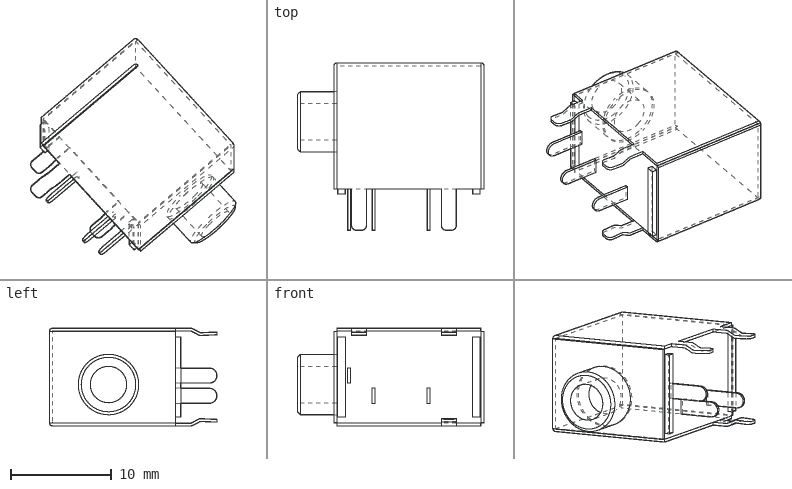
import cadquery as cq
import math


shell_length = 14.9
shell_depth = 12.5
shell_height = 9.7
sheet = 0.3
corner_gap = 0.02

barrel_projection = 3.6
barrel_diameter = 6.0
bore_diameter = 3.6
barrel_chamfer = sheet
barrel_y = 6.66
barrel_z = -0.74

rail_width = 0.75
rail_projection = 0.5
rail_height = 7.95
rail_setback = 0.39

leg_length = 4.09
leg_width = 1.5
pin_places = [(1.52, 0.15), (3.94, -1.85), (9.4, -1.85)]

tab_offsets = {"left": 2.5, "right": 11.4}
tab_corner_radius = 0.5
tab_bend_radius = 0.05
tab_first_bend = 1.6
tab_second_bend = 2.45
tab_flat_start = 3.8
tab_inward_angle = 27.5
tab_return_angle = 2.5

shell_left = -shell_length / 2
shell_top = shell_height / 2
housing_length = shell_length - 2 * sheet
housing_depth = shell_depth - sheet
housing_height = shell_height - 2 * sheet


def block(x_size, y_size, z_size):
    """Box centred in X and Z that runs from Y = 0 towards +Y."""
    return cq.Workplane("XY").box(x_size, y_size, z_size, centered=(True, False, True))


def make_housing():
    """Plain block that fills the shell, flush with its open front."""
    return block(housing_length, housing_depth, housing_height)


def barrel_cylinder(diameter):
    """Cylinder on the barrel axis, from the housing's -X face to the barrel mouth."""
    return (
        cq.Workplane("YZ", origin=(-housing_length / 2, barrel_y, barrel_z))
        .circle(diameter / 2)
        .extrude(-(barrel_projection + sheet))
    )


def make_barrel():
    """Tube that passes through the shell wall and stands on the housing."""
    barrel = barrel_cylinder(barrel_diameter).faces("<X").chamfer(barrel_chamfer)
    return barrel.cut(barrel_cylinder(bore_diameter))


def make_rail(side):
    """Standoff bar on the front face; side is -1 for left, +1 for right."""
    rail_x = side * (shell_length / 2 - rail_setback - rail_width / 2)
    rail = block(rail_width, rail_projection, rail_height)
    return rail.translate((rail_x, -rail_projection, 0))


def make_pin(left_offset, pin_z):
    """Flat solder pin with a full-round tip."""
    radius = leg_width / 2
    shoulder = -(leg_length - radius)
    return (
        cq.Workplane("YZ", origin=(shell_left + left_offset - sheet / 2, 0, pin_z))
        .moveTo(0, radius)
        .lineTo(shoulder, radius)
        .threePointArc((-leg_length, 0), (shoulder, -radius))
        .lineTo(0, -radius)
        .close()
        .extrude(sheet)
    )


def tab_profile():
    """Outer and inner outlines of a top tab, each as (Y, Z) points from root to tip."""
    inward = math.radians(tab_inward_angle)
    back = math.radians(tab_return_angle)
    second_z = shell_top - (tab_second_bend - tab_first_bend) * math.tan(inward)
    flat_z = second_z + (tab_flat_start - tab_second_bend) * math.tan(back)
    tip_z = second_z + (leg_length - tab_second_bend) * math.tan(back)
    stations = [
        (0, shell_top, 0, 0),
        (tab_first_bend, shell_top, 0, -inward),
        (tab_second_bend, second_z, -inward, back),
        (leg_length, tip_z, back, -back),
    ]
    outer = []
    inner = []
    for distance, height, before, after in stations:
        mitre = sheet / math.cos((after - before) / 2)
        tilt = (before + after) / 2
        outer.append((-distance, height))
        inner.append((-(distance + mitre * math.sin(tilt)), height - mitre * math.cos(tilt)))
    outer[-1:] = [(-tab_flat_start, flat_z), (-leg_length, flat_z)]
    return outer, inner


def make_tab(left_offset, side):
    """Board-lock tab that continues a shell wall; side is +1 for the top, -1 for the bottom."""
    outer, inner = tab_profile()
    tab_x = shell_left + left_offset
    tab = (
        cq.Workplane("YZ", origin=(tab_x - leg_width / 2, 0, 0))
        .polyline(outer + inner[::-1])
        .close()
        .extrude(leg_width)
    )

    def round_bend(body, point, radius):
        edge = cq.selectors.NearestToPointSelector((tab_x, *point))
        return body.edges("|X").edges(edge).fillet(radius)

    outside_radius = tab_bend_radius + sheet
    first, second = 1, 2
    tab = round_bend(tab, outer[first], outside_radius)
    tab = round_bend(tab, inner[first], tab_bend_radius)
    tab = round_bend(tab, outer[second], tab_bend_radius)
    tab = round_bend(tab, inner[second], outside_radius)
    tab = tab.faces("<Y").edges("|Z").fillet(tab_corner_radius)
    return tab if side > 0 else tab.mirror("XY")


def make_shell():
    """Sheet cup around the housing: back, four folded walls and three tabs."""
    shell = block(shell_length, shell_depth, shell_height).faces(">Y").edges().fillet(sheet)
    corner_side = 2 * (sheet + corner_gap)
    corners = (
        cq.Workplane("XZ")
        .rect(shell_length, shell_height, forConstruction=True)
        .vertices()
        .rect(corner_side, corner_side)
        .extrude(-shell_depth)
    )
    shell = shell.cut(corners).cut(make_housing()).cut(barrel_cylinder(barrel_diameter))
    for offset in tab_offsets.values():
        shell = shell.union(make_tab(offset, 1))
    return shell.union(make_tab(tab_offsets["right"], -1))


housing = make_housing()
shell = make_shell()
barrel = make_barrel()
rails = [make_rail(side) for side in (-1, 1)]
pins = [make_pin(left_offset, pin_z) for left_offset, pin_z in pin_places]

bodies = [housing, shell, barrel, *rails, *pins]
result = cq.Compound.makeCompound([body.solids().val() for body in bodies])